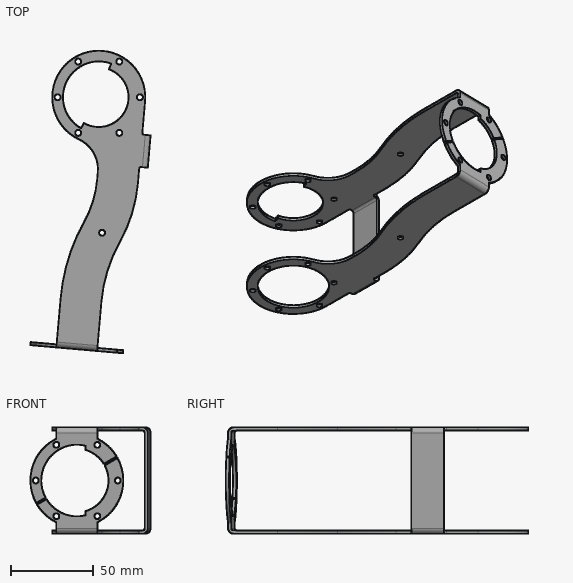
import cadquery as cq
import math


SHEET = 2.0
LENGTH = 184.4
HEIGHT = 65.0
BEND_INNER = 1.5
BEND_OUTER = BEND_INNER + SHEET
CORNER_FILLET = 1.0
TILT = -5.0
TOP_PLATE_Z = HEIGHT / 2 - SHEET

RING_RADIUS = 28.4
BOLT_CIRCLE = 25.0
BOLT_COUNT = 6
HOLE_DIAMETER = 3.5
BORE_RADIUS = 21.8
TOP_STEP_RADIUS = 18.0
FRONT_STEP_RADIUS = 19.4
TOP_STEP_START = -115.0
TOP_STEP_END = 75.0
FRONT_STEP_OFFSET = 5.3
SLIT_WIDTH = 1.0
SLIT_ANGLE = 30.0

ARM_HALF = 12.5
ARM_SHIFT = RING_RADIUS - ARM_HALF
LEAN = math.radians(abs(TILT))
FRONT_FACE = -(LENGTH - RING_RADIUS * (1 + math.sin(LEAN))) / math.cos(LEAN)
CURVE_START = -50.2
BACK_BEND = 76.3
FRONT_BEND = 103.3
ARM_FILLET = 20.0
ARM_HOLE = (9.2, -82.0)

STRAP_FACE = 33.5
STRAP_LENGTH = 20.0
STRAP_CENTER = -30.2


def polar(center, radius, degrees):
    """Point at a radius and an angle around a centre."""
    angle = math.radians(degrees)
    return (center[0] + radius * math.cos(angle), center[1] + radius * math.sin(angle))


def arm_profile():
    """Ring disc blended into the S-shaped arm, ending where the front bend starts."""
    sweep = math.degrees(math.acos(1 - ARM_SHIFT / (BACK_BEND + FRONT_BEND)))
    back_center = (ARM_SHIFT - BACK_BEND, CURVE_START)
    front_center = polar(back_center, BACK_BEND + FRONT_BEND, -sweep)
    arm_end = FRONT_FACE + BEND_OUTER
    right_back, left_back = BACK_BEND + ARM_HALF, BACK_BEND - ARM_HALF
    right_front, left_front = FRONT_BEND - ARM_HALF, FRONT_BEND + ARM_HALF

    fillet_x = ARM_SHIFT - ARM_HALF - ARM_FILLET
    fillet_y = -math.sqrt((RING_RADIUS + ARM_FILLET) ** 2 - fillet_x ** 2)
    fillet_center = (fillet_x, fillet_y)
    ring_angle = math.degrees(math.atan2(fillet_y, fillet_x)) + 360
    fillet_angle = ring_angle - 180

    return (
        cq.Workplane("XY")
        .moveTo(RING_RADIUS, 0)
        .lineTo(RING_RADIUS, CURVE_START)
        .threePointArc(polar(back_center, right_back, -sweep / 2), polar(back_center, right_back, -sweep))
        .threePointArc(polar(front_center, right_front, 180 - sweep / 2), (ARM_HALF, front_center[1]))
        .lineTo(ARM_HALF, arm_end)
        .lineTo(-ARM_HALF, arm_end)
        .lineTo(-ARM_HALF, front_center[1])
        .threePointArc(polar(front_center, left_front, 180 - sweep / 2),
                       polar(front_center, left_front, 180 - sweep))
        .threePointArc(polar(back_center, left_back, -sweep / 2), (ARM_SHIFT - ARM_HALF, CURVE_START))
        .lineTo(ARM_SHIFT - ARM_HALF, fillet_y)
        .threePointArc(polar(fillet_center, ARM_FILLET, fillet_angle / 2),
                       polar(fillet_center, ARM_FILLET, fillet_angle))
        .threePointArc(polar((0, 0), RING_RADIUS, ring_angle / 2), (RING_RADIUS, 0))
        .close()
    )


def plate(z):
    """Flat plate with a full-size bore, bolt holes and the arm hole; its underside is at z."""
    body = arm_profile().extrude(SHEET)
    bore = cq.Workplane("XY").circle(BORE_RADIUS).extrude(SHEET)
    bolts = (
        cq.Workplane("XY")
        .polarArray(BOLT_CIRCLE, -TILT, 360, BOLT_COUNT)
        .circle(HOLE_DIAMETER / 2)
        .extrude(SHEET)
    )
    arm_hole = cq.Workplane("XY").center(*ARM_HOLE).circle(HOLE_DIAMETER / 2).extrude(SHEET)
    return body.cut(bore).cut(bolts).cut(arm_hole).translate((0, 0, z))


def top_step():
    """Segment that narrows the top bore over part of its circumference."""
    middle = (TOP_STEP_START + TOP_STEP_END) / 2
    rim = BORE_RADIUS + SHEET / 2
    return (
        cq.Workplane("XY", origin=(0, 0, TOP_PLATE_Z))
        .moveTo(*polar((0, 0), TOP_STEP_RADIUS, TOP_STEP_START))
        .threePointArc(polar((0, 0), TOP_STEP_RADIUS, middle), polar((0, 0), TOP_STEP_RADIUS, TOP_STEP_END))
        .lineTo(*polar((0, 0), rim, TOP_STEP_END))
        .threePointArc(polar((0, 0), rim, middle), polar((0, 0), rim, TOP_STEP_START))
        .close()
        .extrude(SHEET)
    )


def front_flange():
    """Slit ring standing between the plates, with a bent neck at the top and the bottom."""
    def disc(radius):
        return cq.Workplane("XZ", origin=(0, FRONT_FACE + SHEET, 0)).circle(radius).extrude(SHEET)

    neck_depth = 2 * BEND_OUTER
    neck = (
        cq.Workplane("XY")
        .box(2 * ARM_HALF, neck_depth, HEIGHT)
        .edges("|X and <Y").fillet(BEND_OUTER)
    )
    inside = (
        cq.Workplane("XY")
        .box(2 * ARM_HALF, neck_depth, HEIGHT - 2 * SHEET)
        .edges("|X and <Y").fillet(BEND_INNER)
        .translate((0, SHEET, 0))
    )
    past_bend = cq.Workplane("XY").box(2 * ARM_HALF, neck_depth, HEIGHT).translate((0, BEND_OUTER, 0))
    necks = neck.cut(inside).cut(past_bend).translate((0, FRONT_FACE + neck_depth / 2, 0))
    step_side = (
        cq.Workplane("XY")
        .box(BORE_RADIUS, HEIGHT, HEIGHT)
        .translate((FRONT_STEP_OFFSET + BORE_RADIUS / 2, FRONT_FACE, 0))
    )
    bore = disc(BORE_RADIUS).cut(step_side).union(disc(FRONT_STEP_RADIUS))
    bolts = (
        cq.Workplane("XZ", origin=(0, FRONT_FACE + SHEET, 0))
        .polarArray(BOLT_CIRCLE, 0, 360, BOLT_COUNT)
        .circle(HOLE_DIAMETER / 2)
        .extrude(SHEET)
    )
    slit = (
        cq.Workplane("XY")
        .box(2 * RING_RADIUS + SHEET, 2 * SHEET, SLIT_WIDTH)
        .rotate((0, 0, 0), (0, 1, 0), -SLIT_ANGLE)
        .translate((0, FRONT_FACE + SHEET / 2, 0))
    )
    corner_z = math.sqrt(RING_RADIUS ** 2 - ARM_HALF ** 2)
    blank = necks.union(disc(RING_RADIUS))
    for side in (-1, 1):
        for end in (-1, 1):
            corner = (side * ARM_HALF, FRONT_FACE + SHEET / 2, end * corner_z)
            blank = blank.edges(cq.selectors.NearestToPointSelector(corner)).fillet(CORNER_FILLET)
    return blank.cut(bore).cut(bolts).cut(slit)


def side_strap():
    """U-shaped strap bent down from the top plate and up from the bottom plate."""
    depth = STRAP_FACE - RING_RADIUS + SHEET
    outer = (
        cq.Workplane("XY")
        .box(depth, STRAP_LENGTH, HEIGHT)
        .edges("|Y and >X").fillet(BEND_OUTER)
    )
    inner = (
        cq.Workplane("XY")
        .box(depth, STRAP_LENGTH, HEIGHT - 2 * SHEET)
        .edges("|Y and >X").fillet(BEND_INNER)
        .translate((-SHEET, 0, 0))
    )
    return outer.cut(inner).translate((STRAP_FACE - depth / 2, STRAP_CENTER, 0))


def strap_corners():
    """Fillers that round the notches between the arm edge and the strap ends on both plates."""
    size = CORNER_FILLET
    front_filler = (
        cq.Workplane("XY", origin=(RING_RADIUS, -STRAP_LENGTH / 2, 0))
        .moveTo(-size, size)
        .lineTo(-size, -size)
        .lineTo(0, -size)
        .radiusArc((size, 0), size)
        .lineTo(size, size)
        .close()
        .extrude(SHEET)
    )
    pair = front_filler.union(front_filler.mirror("XZ")).translate((0, STRAP_CENTER, 0))
    return pair.translate((0, 0, TOP_PLATE_Z)).union(pair.translate((0, 0, -HEIGHT / 2)))


bracket = (
    plate(TOP_PLATE_Z)
    .union(top_step())
    .union(plate(-HEIGHT / 2))
    .union(front_flange())
    .union(side_strap())
    .union(strap_corners())
)
result = bracket.rotate((0, 0, 0), (0, 0, 1), TILT)